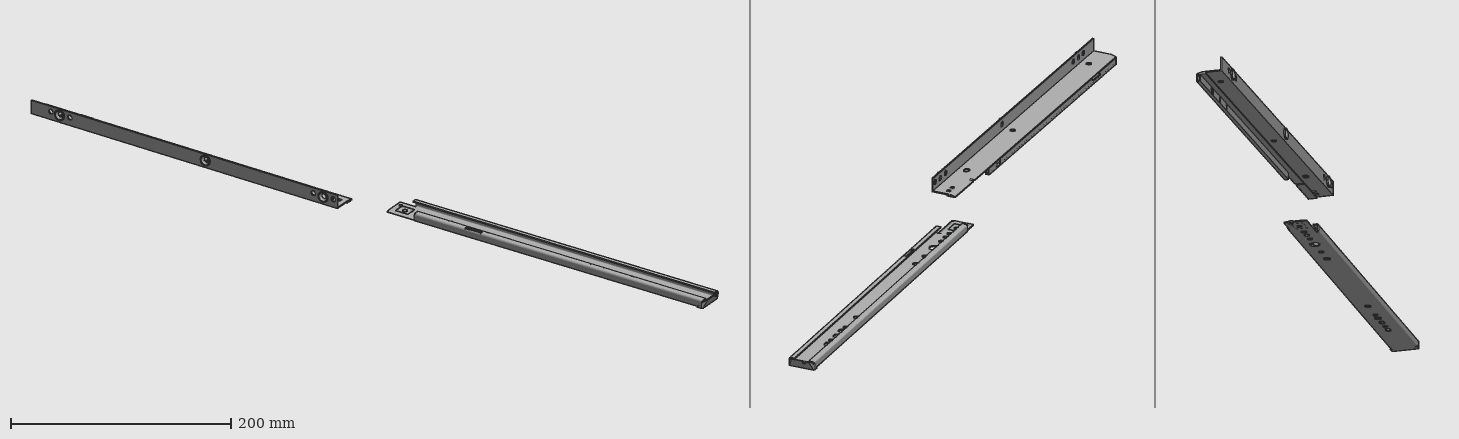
import cadquery as cq
import math

overall_length = 717.54
overall_depth = 59.37
overall_height = 23.24
sheet = 1.3

cabinet_length = 336.4
cabinet_tilt = 0.66
flange_bottom = 9.7
web_top = flange_bottom + sheet
web_width = 23.7
hem_inner = 15.4
hem_bottom = 8.6
slope_start = 18.9
slope_drop = 1.4
screw_x = (31.7, 191.7, 321.0)
screw_z = 17.4
screw_diameter = 4.6
sink_diameter = 8.4
boss_diameter = 10.4
boss_height = 1.2
pilot_x = (21.7, 42.5, 309.8, 331.8)
pilot_z = 17.8
pilot_diameter = 4.8
web_hole_x = (26.8, 186.6)
web_hole_y = 9.3
web_hole_diameter = 5.0
web_slot_x = 282.8
web_slot_length = 7.0
tongue_y = 18.0
tongue_width = 2.4
tongue_reach = 1.6
relief_x = (322.0, 329.5)
relief_size = 3.2
hem_gap_x, hem_gap_length = 297.0, 3.0

runner_length = 266.0
runner_inner = 20.5
runner_outer = 24.0
runner_wall = 1.0
runner_bottom = 2.0
runner_height = hem_bottom - runner_bottom
tab_start, tab_length = 37.0, 14.0
tab_reach = 1.8
slit_x = (60.0, 80.0)
slit_width = 1.6
window_x, window_width = 36.5, 6.0
notch_x, notch_length = 246.0, 6.5

drawer_length = 350.0
drawer_start = overall_length - drawer_length
drawer_width = 25.7
drawer_height = 8.4
drawer_middle = overall_depth - drawer_width / 2
drawer_corner = 2.2
lip_width = 5.6
rear_flange_offset = 16.6
front_flange_offset = 31.0
web_end_inset = 2.0
tip_reach = 1.8
tip_width = 2.6
tip_offset = 4.3
end_slope = 3.2
end_foot = 6.0
edge_drop = 0.7
end_corner = 4.0
lip_window_start, lip_window_length = 453.0, 17.0
recess_x, recess_length, recess_width, recess_depth = 380.0, 13.5, 11.0, 0.5
recess_hole_diameter = 4.6
corner_hole_x, corner_hole_offset, corner_hole_diameter = 371.8, 5.6, 3.0
round_holes = (
    (394.6, 5.2), (403.2, 5.2), (413.2, 4.8), (428.4, 9.6), (448.6, 5.0), (466.9, 6.4),
    (594.4, 5.8), (618.0, 4.6), (626.4, 6.6), (649.0, 4.6),
)
slot_x = (638.2, 657.8)
slot_length, slot_width = 7.5, 4.8


def box(x, y, z, length, width, height):
    """Box from its lowest corner."""
    return cq.Workplane("XY").box(length, width, height, centered=False).translate((x, y, z))


def upright_hole(x, y, diameter, base, height):
    return cq.Workplane("XY", origin=(x, y, base)).circle(diameter / 2).extrude(height)


def across_cylinder(x, z, diameter, start, depth):
    """Cylinder along +Y from y = start."""
    return cq.Workplane("XZ", origin=(x, start, z)).circle(diameter / 2).extrude(-depth)


def sink_cone(x, z):
    """Countersink narrowing toward -Y through the flange and boss."""
    depth = sheet + boss_height
    return (
        cq.Workplane("XZ", origin=(x, -boss_height, z))
        .circle(sink_diameter / 2)
        .workplane(offset=-depth)
        .circle(screw_diameter / 2)
        .loft()
    )


def place_tilted(body):
    """Turn a body about the right-hand end and seat the bosses at y = 0."""
    tilt = math.radians(cabinet_tilt)
    last_boss_inset = cabinet_length - (screw_x[-1] + boss_diameter / 2)
    seat = boss_height * math.cos(tilt) - last_boss_inset * math.sin(tilt)
    turned = body.translate((-cabinet_length, 0, 0)).rotate((0, 0, 0), (0, 0, 1), -cabinet_tilt)
    return turned.translate((cabinet_length * math.cos(tilt), seat, 0))


def make_cabinet_rail():
    section = [
        (0, flange_bottom),
        (hem_inner, flange_bottom),
        (hem_inner, hem_bottom),
        (web_width, hem_bottom),
        (web_width, web_top - slope_drop),
        (slope_start, web_top),
        (sheet, web_top),
        (sheet, overall_height),
        (0, overall_height),
    ]
    rail = cq.Workplane("YZ").polyline(section).close().extrude(cabinet_length)
    rail = rail.union(
        box(cabinet_length, tongue_y - tongue_width / 2, flange_bottom, tongue_reach, tongue_width, sheet)
    )
    for x in screw_x:
        rail = rail.union(across_cylinder(x, screw_z, boss_diameter, -boss_height, boss_height))
        rail = rail.cut(sink_cone(x, screw_z))
    for x in pilot_x:
        rail = rail.cut(across_cylinder(x, pilot_z, pilot_diameter, 0, sheet))
    for x in web_hole_x:
        rail = rail.cut(upright_hole(x, web_hole_y, web_hole_diameter, flange_bottom, sheet))
    slot = (
        cq.Workplane("XY", origin=(web_slot_x, web_hole_y, flange_bottom))
        .slot2D(web_slot_length, web_hole_diameter)
        .extrude(sheet)
    )
    rail = rail.cut(slot)
    for x in relief_x:
        rail = rail.cut(
            box(x - relief_size / 2, hem_inner - relief_size, flange_bottom, relief_size, relief_size, sheet)
        )
    hem_gap = box(hem_gap_x - hem_gap_length / 2, hem_inner, hem_bottom,
                  hem_gap_length, web_width - hem_inner, flange_bottom - hem_bottom)
    return place_tilted(rail.cut(hem_gap))


def make_runner():
    width = runner_outer - runner_inner
    rail = box(0, runner_inner, runner_bottom, runner_length, width, runner_height)
    rail = rail.cut(
        box(0, runner_inner + runner_wall, runner_bottom + sheet,
            runner_length, width - 2 * runner_wall, runner_height)
    )
    rail = rail.union(box(tab_start, runner_outer, hem_bottom - sheet, tab_length, tab_reach, sheet))
    openings = [(x, slit_width) for x in slit_x] + [(window_x, window_width)]
    for x, opening in openings:
        rail = rail.cut(
            box(x - opening / 2, runner_inner, runner_bottom + sheet,
                opening, runner_wall, runner_height - 2 * sheet)
        )
    notch = box(notch_x - notch_length / 2, runner_outer - runner_wall, runner_bottom + sheet,
                notch_length, runner_wall, runner_height)
    return place_tilted(rail.cut(notch))


def make_drawer_rail():
    half = drawer_width / 2
    stop_end = drawer_length - tip_reach
    straight = stop_end - end_slope
    rail = (
        box(0, -half, 0, straight, drawer_width, drawer_height)
        .edges("|X").fillet(drawer_corner)
    )
    rail = rail.cut(
        box(0, sheet - half, sheet, straight, drawer_width - 2 * sheet, drawer_height - 2 * sheet)
        .edges("|X").fillet(drawer_corner - sheet)
    )
    rail = rail.cut(box(0, lip_width - half, sheet, straight, drawer_width - 2 * lip_width, drawer_height))
    web_edge = half - web_end_inset
    rail = rail.cut(box(0, 0, sheet, rear_flange_offset, half, drawer_height))
    rail = rail.cut(box(0, -half, sheet, front_flange_offset, half, drawer_height))
    rail = rail.cut(box(0, web_edge, 0, rear_flange_offset, half, drawer_height))
    rail = rail.cut(box(0, -web_edge - half, 0, front_flange_offset, half, drawer_height))
    edge_slope = (
        cq.Workplane("YZ")
        .polyline([
            (-web_edge, sheet - edge_drop),
            (-web_edge, sheet),
            (lip_width - half, sheet),
        ])
        .close()
        .extrude(front_flange_offset)
    )
    rail = rail.cut(edge_slope)
    stop = (
        cq.Workplane("XZ", origin=(0, half, 0))
        .polyline([
            (straight - end_foot, 0),
            (straight, 0),
            (stop_end, drawer_height),
            (stop_end - sheet, drawer_height),
        ])
        .close()
        .extrude(drawer_width)
    )
    corner_trim = (
        box(0, -half, 0, stop_end, drawer_width, drawer_height)
        .edges("|Z and >X").chamfer(end_corner)
    )
    rail = rail.union(stop).intersect(corner_trim)
    tip = box(stop_end - sheet, tip_offset - tip_width / 2, drawer_height - sheet,
              sheet + tip_reach, tip_width, sheet)
    rail = rail.union(tip)
    rail = rail.translate((drawer_start, drawer_middle, 0))
    return cut_drawer_openings(rail)


def cut_drawer_openings(rail):
    for x, diameter in round_holes:
        rail = rail.cut(upright_hole(x, drawer_middle, diameter, 0, sheet))
    for x in slot_x:
        slot = cq.Workplane("XY", origin=(x, drawer_middle, 0)).slot2D(slot_length, slot_width).extrude(sheet)
        rail = rail.cut(slot)
    recess = box(recess_x - recess_length / 2, drawer_middle - recess_width / 2, sheet - recess_depth,
                 recess_length, recess_width, recess_depth)
    rail = rail.cut(recess)
    rail = rail.cut(upright_hole(recess_x, drawer_middle, recess_hole_diameter, 0, sheet))
    rail = rail.cut(
        upright_hole(corner_hole_x, drawer_middle + corner_hole_offset, corner_hole_diameter, 0, sheet)
    )
    window_start = drawer_middle - drawer_width / 2 + sheet
    return rail.cut(
        box(lip_window_start, window_start, drawer_height - drawer_corner,
            lip_window_length, lip_width - 2 * sheet, drawer_corner)
    )


cabinet_rail = make_cabinet_rail()
runner = make_runner()
drawer_rail = make_drawer_rail()

result = cq.Compound.makeCompound([
    *cabinet_rail.solids().vals(),
    *runner.solids().vals(),
    *drawer_rail.solids().vals(),
])